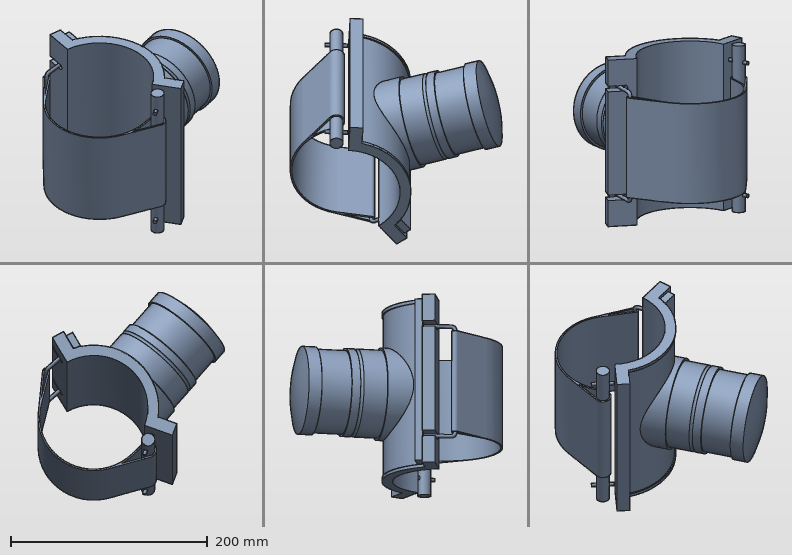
import cadquery as cq
import math


SADDLE_HEIGHT = 176.0
BORE_RADIUS = 55.0
END_BAND_RADIUS = 66.0
END_BAND_WIDTH = 3.5
SHELL_RADIUS = 64.8
LUG_ANGLE = 20.0
HALF_WIDTH = 80.05
LUG_REACH = HALF_WIDTH / math.cos(math.radians(LUG_ANGLE))
LUG_THICKNESS = 13.2
BLOCK_HEIGHT = SADDLE_HEIGHT - 2 * END_BAND_WIDTH

SLOT_WIDTH = 5.8
SLOT_END = 64.8
HOOK_Z = 57.5

COLLAR_RADIUS = 47.2
SOCKET_RADIUS = 90.0 / 2
PIPE_RADIUS = 85.5 / 2
COLLAR_TOP = 70.8
SOCKET_TOP = 107.7
CAP_START = 138.9
CAP_EDGE = 152.5
GROOVE_Y = 97.0
GROOVE_RADIUS = 1.7

STRAP_HEIGHT = 105.3
STRAP_THICKNESS = 1.7
STRAP_RADIUS = BORE_RADIUS + STRAP_THICKNESS
CAP_TOP = 216.6 - STRAP_RADIUS
WIRE_RADIUS = 4.0 / 2
WIRE_CENTRE = (-68.5, 5.6)
WIRE_BEND_RADIUS = 4.3
WIRE_TILT = 7.0
PIN_RADIUS = 13.5 / 2
PIN_CENTRE = (64.3, 9.7)
CROSS_PIN_RADIUS = 4.0 / 2
CROSS_PIN_LENGTH = 23.5
CROSS_PIN_Z = 70.0
BLOCK_START = 64.8
BLOCK_WIDTH = 16.0
BLOCK_THICKNESS = 8.0


def cylinder_z(radius, height, centre=(0, 0)):
    """Upright cylinder, centred on the middle height."""
    return cq.Workplane("XY").center(*centre).circle(radius).extrude(height / 2, both=True)


def polar(radius, angle, centre=(0, 0)):
    """Point at an angle in radians on a circle."""
    return (centre[0] + radius * math.cos(angle), centre[1] + radius * math.sin(angle))


def lug_box(start, end, bottom, thickness, height):
    """Box on the right lug, placed along the lug and above its lower face."""
    box = cq.Workplane("XY").box(end - start, thickness, height, centered=(False, False, True))
    return box.translate((start, bottom, 0)).rotate((0, 0, 0), (0, 0, 1), LUG_ANGLE)


def make_saddle_shell():
    """Part ring above the two radial lug faces, thicker at both ends, with two lugs."""
    band_offset = (SADDLE_HEIGHT - END_BAND_WIDTH) / 2
    shell = cylinder_z(SHELL_RADIUS, SADDLE_HEIGHT)
    for side in (-1, 1):
        band = cylinder_z(END_BAND_RADIUS, END_BAND_WIDTH)
        shell = shell.union(band.translate((0, 0, side * band_offset)))

    tip_height = LUG_REACH * math.sin(math.radians(LUG_ANGLE))
    sector = (
        cq.Workplane("XY")
        .polyline([
            (0, 0),
            (HALF_WIDTH, tip_height),
            (HALF_WIDTH, HALF_WIDTH),
            (-HALF_WIDTH, HALF_WIDTH),
            (-HALF_WIDTH, tip_height),
        ])
        .close()
        .extrude(SADDLE_HEIGHT / 2, both=True)
    )
    shell = shell.intersect(sector)

    lug = lug_box(BORE_RADIUS, LUG_REACH, 0, LUG_THICKNESS, SADDLE_HEIGHT)
    return shell.union(lug).union(lug.mirror("YZ"))


def make_branch():
    """Turned branch: collar, grooved socket, pipe and domed cap."""
    cap_chord_middle = SOCKET_RADIUS / 2
    dome_rise = CAP_TOP - CAP_EDGE
    dome_radius = (SOCKET_RADIUS**2 + dome_rise**2) / (2 * dome_rise)
    dome_middle_y = CAP_TOP - dome_radius + math.sqrt(dome_radius**2 - cap_chord_middle**2)
    branch = (
        cq.Workplane("XY")
        .moveTo(0, 0)
        .lineTo(COLLAR_RADIUS, 0)
        .lineTo(COLLAR_RADIUS, COLLAR_TOP)
        .lineTo(SOCKET_RADIUS, COLLAR_TOP)
        .lineTo(SOCKET_RADIUS, SOCKET_TOP)
        .lineTo(PIPE_RADIUS, SOCKET_TOP)
        .lineTo(PIPE_RADIUS, CAP_START)
        .lineTo(SOCKET_RADIUS, CAP_START)
        .lineTo(SOCKET_RADIUS, CAP_EDGE)
        .threePointArc((cap_chord_middle, dome_middle_y), (0, CAP_TOP))
        .close()
        .revolve(360, (0, 0, 0), (0, 1, 0))
    )
    groove = (
        cq.Workplane("XY")
        .center(SOCKET_RADIUS, GROOVE_Y)
        .circle(GROOVE_RADIUS)
        .revolve(360, (-SOCKET_RADIUS, 0, 0), (-SOCKET_RADIUS, 1, 0))
    )
    return branch.cut(groove)


def make_lug_slot():
    """Round-ended slot through the left lug, open at the lug tip."""
    round_centre = SLOT_END + SLOT_WIDTH / 2
    straight = lug_box(round_centre, LUG_REACH + SLOT_WIDTH, 0, LUG_THICKNESS, SLOT_WIDTH)
    round_end = (
        cq.Workplane("XZ", origin=(round_centre, 0, 0))
        .circle(SLOT_WIDTH / 2)
        .extrude(-LUG_THICKNESS)
        .rotate((0, 0, 0), (0, 0, 1), LUG_ANGLE)
    )
    return straight.union(round_end).mirror("YZ")


def make_saddle():
    saddle = make_saddle_shell().union(make_branch())
    saddle = saddle.cut(cylinder_z(BORE_RADIUS, SADDLE_HEIGHT))
    slot = make_lug_slot()
    for side in (-1, 1):
        saddle = saddle.cut(slot.translate((0, 0, side * HOOK_Z)))
    return saddle


def strap_strip(start, end, normal_angle, thickness):
    """Flat strip whose base line is start-end and which thickens along the normal angle."""
    far_start = polar(thickness, normal_angle, start)
    far_end = polar(thickness, normal_angle, end)
    return (
        cq.Workplane("XY")
        .polyline([start, end, far_end, far_start])
        .close()
        .extrude(STRAP_HEIGHT / 2, both=True)
    )


def make_strap_loop(centre, core_radius):
    """Loop around a core on the right: an eye and two strips tangent to the round strap."""
    eye_radius = core_radius + STRAP_THICKNESS
    distance = math.hypot(*centre)
    direction = math.atan2(centre[1], centre[0])

    outer_angle = direction - math.acos((STRAP_RADIUS - eye_radius) / distance)
    outer_strip = strap_strip(
        polar(STRAP_RADIUS, outer_angle),
        polar(eye_radius, outer_angle, centre),
        outer_angle,
        -STRAP_THICKNESS,
    )
    inner_angle = direction - math.acos((BORE_RADIUS + eye_radius) / distance)
    inner_strip = strap_strip(
        polar(BORE_RADIUS, inner_angle),
        polar(-eye_radius, inner_angle, centre),
        inner_angle,
        STRAP_THICKNESS,
    )
    inner_point = polar(-eye_radius, inner_angle, centre)
    outer_point = polar(eye_radius, outer_angle, centre)
    far_angle = (inner_angle + math.pi + outer_angle) / 2
    eye = (
        cq.Workplane("XY")
        .moveTo(*inner_point)
        .threePointArc(polar(eye_radius, far_angle, centre), outer_point)
        .lineTo(*polar(core_radius, outer_angle, centre))
        .threePointArc(
            polar(core_radius, far_angle, centre),
            polar(-core_radius, inner_angle, centre),
        )
        .close()
        .extrude(STRAP_HEIGHT / 2, both=True)
    )
    bottom = -math.pi / 2
    middle = (bottom + inner_angle) / 2
    half_strap = (
        cq.Workplane("XY")
        .moveTo(*polar(BORE_RADIUS, bottom))
        .threePointArc(polar(BORE_RADIUS, middle), polar(BORE_RADIUS, inner_angle))
        .lineTo(*polar(STRAP_RADIUS, inner_angle))
        .threePointArc(polar(STRAP_RADIUS, middle), polar(STRAP_RADIUS, bottom))
        .close()
        .extrude(STRAP_HEIGHT / 2, both=True)
    )
    return half_strap.union(outer_strip).union(inner_strip).union(eye)


def make_pin():
    """Tightening pin with a cross pin near each end."""
    pin = cylinder_z(PIN_RADIUS, SADDLE_HEIGHT, PIN_CENTRE)
    for side in (-1, 1):
        cross_pin = (
            cq.Workplane("XZ")
            .circle(CROSS_PIN_RADIUS)
            .extrude(CROSS_PIN_LENGTH / 2, both=True)
            .rotate((0, 0, 0), (0, 0, 1), LUG_ANGLE)
            .translate((*PIN_CENTRE, side * CROSS_PIN_Z))
        )
        pin = pin.union(cross_pin)
    return pin


def make_hook_block():
    """Bar that rests on the back of the left lug."""
    block = lug_box(
        BLOCK_START, BLOCK_START + BLOCK_WIDTH, LUG_THICKNESS, BLOCK_THICKNESS, BLOCK_HEIGHT
    )
    return block.mirror("YZ")


def make_hook_wire():
    """U-shaped wire through the left strap loop, both legs ending inside the hook block."""
    lug_tilt = math.radians(LUG_ANGLE)
    leg_tilt = math.radians(WIRE_TILT)
    height_above_lug = (
        WIRE_CENTRE[1] * math.cos(lug_tilt) + WIRE_CENTRE[0] * math.sin(lug_tilt)
    )
    block_middle = LUG_THICKNESS + BLOCK_THICKNESS / 2
    leg_length = (block_middle - height_above_lug) / math.cos(lug_tilt + leg_tilt)
    bend_middle = WIRE_BEND_RADIUS * (1 - math.sqrt(0.5))

    plane = cq.Plane(
        origin=(*WIRE_CENTRE, 0),
        xDir=(math.sin(leg_tilt), math.cos(leg_tilt), 0),
        normal=(math.cos(leg_tilt), -math.sin(leg_tilt), 0),
    )
    path = (
        cq.Workplane(plane)
        .moveTo(leg_length, -HOOK_Z)
        .lineTo(WIRE_BEND_RADIUS, -HOOK_Z)
        .threePointArc((bend_middle, bend_middle - HOOK_Z), (0, WIRE_BEND_RADIUS - HOOK_Z))
        .lineTo(0, HOOK_Z - WIRE_BEND_RADIUS)
        .threePointArc((bend_middle, HOOK_Z - bend_middle), (WIRE_BEND_RADIUS, HOOK_Z))
        .lineTo(leg_length, HOOK_Z)
    )
    leg_end = plane.toWorldCoords((leg_length, -HOOK_Z, 0))
    section = cq.Workplane(cq.Plane(origin=leg_end, xDir=(0, 0, 1), normal=plane.xDir))
    return section.circle(WIRE_RADIUS).sweep(path)


def make_clamp():
    """Strap with its pin on the right and its hook on the left."""
    left_mirrored_centre = (-WIRE_CENTRE[0], WIRE_CENTRE[1])
    left_loop = make_strap_loop(left_mirrored_centre, WIRE_RADIUS).mirror("YZ")
    right_loop = make_strap_loop(PIN_CENTRE, PIN_RADIUS)
    clamp = left_loop.union(right_loop)
    clamp = clamp.union(make_pin())
    hook = make_hook_block().union(make_hook_wire())
    return clamp.union(hook)


saddle = make_saddle()
clamp = make_clamp()
result = cq.Compound.makeCompound([saddle.solids().val(), clamp.solids().val()])